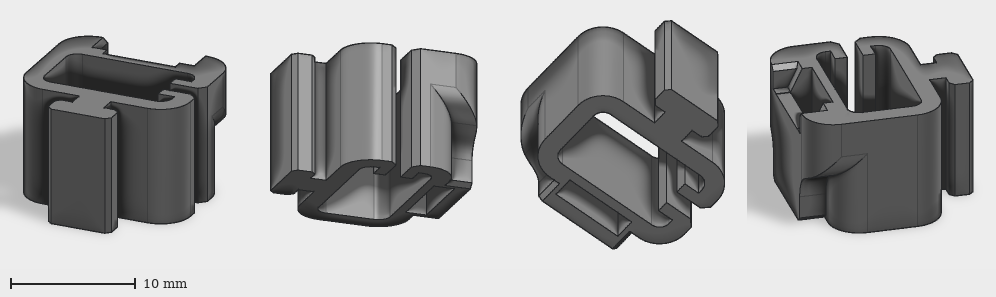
import cadquery as cq
import math

width = 14.4
depth = 14.83
height = 10.0
wall = 1.6
body_front = 3.34
corner_radius = 2.6
cavity_radius = 1.0
half_width = width / 2
body_depth = depth - body_front
cavity_front = body_front + wall

mouth_gap = 1.3
mouth_chamfer = 0.58
lip_thickness = 1.01
lip_length = 3.03

stem_width = 2.79
head_width = 5.55
head_depth = 2.0
head_chamfer = 0.4

rear_step = 2.17
shoulder_z = 7.07
tongue_half_width = 4.0
tongue_chamfer = 0.39
rear_face = depth - rear_step

socket_half_width = 4.1
socket_depth = 1.97
socket_chamfer = 0.42
socket_floor = height - socket_depth

window_half_width = 3.19
window_front = 11.86
crossbar_thickness = 1.2
crossbar_drop = 0.05
crossbar_front = depth - crossbar_thickness


def block(x_min, x_max, y_min, y_max, z_min=0, z_max=height):
    """Axis-aligned block between the given limits."""
    size = (x_max - x_min, y_max - y_min, z_max - z_min)
    return cq.Workplane("XY").box(*size, centered=False).translate((x_min, y_min, z_min))


def rounded_body(y_min, y_max):
    """Full-width block with rounded vertical corners."""
    return block(-half_width, half_width, y_min, y_max).edges("|Z").fillet(corner_radius)


def extrude_along_y(profile, y_min, y_max):
    """Extrude a closed XZ profile, drawn at Y = 0, from y_min to y_max."""
    return profile.extrude(y_min - y_max).translate((0, y_min, 0))


def clip_body():
    """Ring-shaped clip with the side mouth and its two lips."""
    inner_half = half_width - wall
    cavity = block(-inner_half, inner_half, cavity_front, depth - rear_step - wall)
    cavity = cavity.edges("|Z").fillet(cavity_radius)
    body = rounded_body(body_front, depth).cut(cavity)

    mouth_y = (cavity_front + depth - rear_step - wall) / 2
    lip_reach = mouth_gap / 2 + lip_thickness
    lip_start = half_width - lip_length
    body = body.union(block(lip_start, half_width, mouth_y - lip_reach, mouth_y + lip_reach))

    half_gap = mouth_gap / 2
    flared_gap = half_gap + mouth_chamfer
    mouth = (
        cq.Workplane("XY")
        .moveTo(lip_start, mouth_y - half_gap)
        .lineTo(half_width - mouth_chamfer, mouth_y - half_gap)
        .lineTo(half_width, mouth_y - flared_gap)
        .lineTo(half_width, mouth_y + flared_gap)
        .lineTo(half_width - mouth_chamfer, mouth_y + half_gap)
        .lineTo(lip_start, mouth_y + half_gap)
        .close()
        .extrude(height)
    )
    return body.cut(mouth)


def front_rail():
    """Stem and chamfered head, running the full height."""
    head = block(-head_width / 2, head_width / 2, 0, head_depth)
    head = head.edges("|Z").chamfer(head_chamfer)
    return head.union(block(-stem_width / 2, stem_width / 2, head_depth / 2, cavity_front - wall / 2))


def rear_relief():
    """Material removed around the tongue on the rear face, below the shoulders."""
    shoulder_x = half_width - corner_radius
    neck_x = tongue_half_width + corner_radius
    neck_z = shoulder_z - math.sqrt((2 * corner_radius) ** 2 - (neck_x - shoulder_x) ** 2)
    join = ((shoulder_x + neck_x) / 2, (shoulder_z + neck_z) / 2)

    arc_tilt = math.atan2(shoulder_z - neck_z, neck_x - shoulder_x)

    def arc_point(center_x, center_z, angle):
        return (
            center_x + corner_radius * math.cos(angle),
            center_z + corner_radius * math.sin(angle),
        )

    shoulder_middle = arc_point(shoulder_x, shoulder_z, -arc_tilt / 2)
    neck_middle = arc_point(neck_x, neck_z, math.pi - arc_tilt / 2)
    profile = (
        cq.Workplane("XZ")
        .moveTo(half_width, shoulder_z)
        .threePointArc(shoulder_middle, join)
        .threePointArc(neck_middle, (tongue_half_width, neck_z))
        .lineTo(tongue_half_width, tongue_chamfer)
        .lineTo(tongue_half_width - tongue_chamfer, 0)
        .lineTo(half_width, 0)
        .close()
    )
    right_side = extrude_along_y(profile, body_front + body_depth / 2, depth)
    both_sides = right_side.union(right_side.mirror("YZ"))
    return both_sides.cut(rounded_body(body_front, rear_face))


def rear_socket():
    """Socket open to the top and rear, with flared sides and a sloping front wall."""
    flared_half = socket_half_width + socket_chamfer
    chamfer_z = height - socket_chamfer
    profile = (
        cq.Workplane("XZ")
        .moveTo(-socket_half_width, socket_floor)
        .lineTo(socket_half_width, socket_floor)
        .lineTo(socket_half_width, chamfer_z)
        .lineTo(flared_half, height)
        .lineTo(-flared_half, height)
        .lineTo(-socket_half_width, chamfer_z)
        .close()
    )
    sloping_front = (
        cq.Workplane("YZ")
        .moveTo(rear_face, height)
        .lineTo(crossbar_front, socket_floor)
        .lineTo(depth, socket_floor)
        .lineTo(depth, height)
        .close()
        .extrude(flared_half, both=True)
    )
    return extrude_along_y(profile, rear_face, depth).intersect(sloping_front)


def rear_window():
    """Vertical through window, plus the shallow step along the crossbar top."""
    window = block(-window_half_width, window_half_width, window_front, crossbar_front)
    step_floor = socket_floor - crossbar_drop
    step = block(-window_half_width, window_half_width, window_front, depth, step_floor)
    return window.union(step)


result = clip_body().union(front_rail()).cut(rear_relief()).cut(rear_socket()).cut(rear_window())